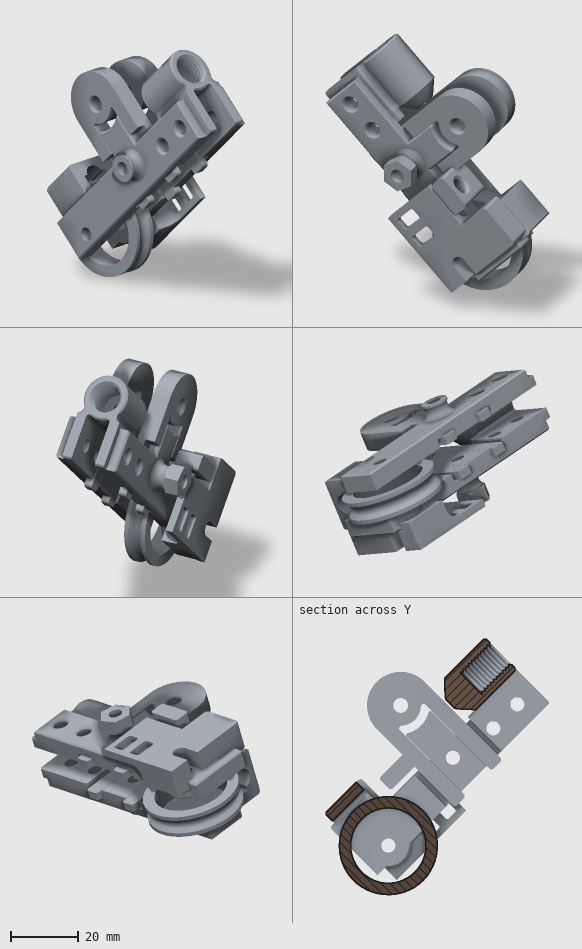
import cadquery as cq
import math

TILT = 45.0

ARM_INNER = 4.45
ARM_OUTER = 10.1
LEG_FACE = 7.0
EDGE_CHAMFER = 0.5

ARM_LEFT = -9.3
ARM_RIGHT = 4.0
ARM_BOTTOM = -8.5
ARM_TOP = 61.8
PIVOT_Z = 32.1
STUB_LEFT = -21.0
STUB_WIDTH = 10.5
STUB_CORNER = 0.6
STUB_HOLLOW_RADIUS = 8.5
GROOVE_PLAY = 1.7
SCREW_X = -2.6
SCREW_HEIGHTS = (46.8, 56.9)
SCREW_DIAMETER = 4.2
SINK_DIAMETER = 5.4
EAR_LEFT = -16.2
EAR_TOP = 6.66
EAR_FILLET = 0.9
HUB_RADIUS = 6.6

LUG_X = -26.9
LUG_RADIUS = 10.03
LUG_SLOT_WIDTH = 10.8
LUG_SLOT_LEFT = -22.6
LUG_BUMP_RADIUS = 6.0
LUG_HOLE = 4.4
LUG_SHOULDER_X = -12.3
LEG_TIP_X = 6.0
LEG_TIP_FILLET = 1.0
ANCHOR_LEFT = EAR_LEFT
ANCHOR_RIGHT = -11.1
ANCHOR_BOTTOM = 12.1
ANCHOR_TOP = 23.5
ANCHOR_REAR = 18.1
ANCHOR_FILLET = 1.1
ANCHOR_HOLE = 4.9
ANCHOR_SINK = 6.4
ANCHOR_HOLE_Y = 12.8

CLEVIS_X = -16.8
CLEVIS_RADIUS = LEG_FACE
CLEVIS_TOP = 64.1
CLEVIS_RIM_CHAMFER = 0.5
BARREL_BOTTOM = 47.0
CONE_BOTTOM = 42.9
CONE_END_RADIUS = 3.0
CLEVIS_LEG_BOTTOM = 43.8
CLEVIS_LEG_INNER = 3.9
WEB_END_X = -10.7
WEB_FILLET = 1.2
NECK_START_X = -13.5
NECK_END_X = -10.4
NECK_MIDDLE = (-12.1, 5.55)
THREAD_DIAMETER = 10.15
THREAD_CORE_DIAMETER = 8.9
THREAD_PITCH = 1.25
THREAD_TURNS = 10
CABLE_HOLE = 3.9

WHEEL_RADIUS = 14.7
WHEEL_BORE = 22.3
WHEEL_HALF_WIDTH = 3.5
GROOVE_HALF_WIDTH = 2.25
GROOVE_FLANK_DEPTH = 1.0
GROOVE_FLOOR_HALF_WIDTH = 1.25
GROOVE_DEPTH = 1.6

SPOOL_X = -4.9
SPOOL_BASE_RADIUS = 10.15 / 2
SPOOL_NECK_RADIUS = 3.5
SPOOL_NECK_HEIGHT = 2.4
SPOOL_LIP_RADIUS = 4.05
SPOOL_LIP_START = 3.9
SPOOL_HEIGHT = 4.6
HEX_START = 4.45
HEX_END = 9.0
HEX_CORNER_DIAMETER = 10.15
HEX_CHAMFER = 0.5

COVER_LEFT = -20.1
COVER_INNER_LEFT = -15.4
COVER_HALF_HEIGHT = 6.6
COVER_HALF_WIDTH = 8.05
COVER_FILLET = 1.0
COVER_END_CHAMFER = 0.5
SCOOP_RADIUS = 3.1
SCOOP_DEPTH = 2.4

CARRIER_RIGHT = 9.0
CARRIER_BOTTOM = -5.5
CARRIER_TOP_LEFT = 8.46
CARRIER_TOP_RIGHT = 9.24
CARRIER_FRONT = COVER_HALF_WIDTH
CARRIER_REAR = 17.1
CARRIER_WEB_FACE = 10.8
CARRIER_PLAY = 0.35
CARRIER_FILLET = 1.0
PLATE_LEFT = -9.5
PLATE_TOP = 23.8
PLATE_FRONT = 14.8
WINDOW_LEFT = 0.0
WINDOW_RIGHT = 7.0
WINDOW_HEIGHT = 3.9
WINDOW_BOTTOMS = (11.0, 17.8)
WINDOW_FILLET = 0.7
AXLE_SLOT_WIDTH = 4.4


def side_plane(y):
    """Sketch plane facing along Y, with sketch axes X and Z."""
    return cq.Workplane("XZ", origin=(0, y, 0))


def box(x, y, z):
    """Box from the (low, high) limits along each axis."""
    size = [high - low for low, high in (x, y, z)]
    return cq.Workplane("XY").box(*size, centered=False).translate((x[0], y[0], z[0]))


def rod(x, z, diameter, y_start, y_end):
    """Cylinder along Y."""
    return side_plane(y_start).center(x, z).circle(diameter / 2).extrude(y_start - y_end)


def countersink(x, z, y_face, diameter, sink_diameter):
    """Cone that widens a hole at the +Y face."""
    depth = (sink_diameter - diameter) / 2
    cone = cq.Solid.makeCone(
        sink_diameter / 2, diameter / 2, depth, cq.Vector(x, y_face, z), cq.Vector(0, -1, 0)
    )
    return cq.Workplane(cone)


def arm(has_ear):
    """Arm on the +Y side; the ear and the hub disc are only on the rear arm."""
    bar = box((ARM_LEFT, ARM_RIGHT), (ARM_INNER, ARM_OUTER), (ARM_BOTTOM, ARM_TOP))
    stub_low = PIVOT_Z - STUB_WIDTH / 2
    stub_high = PIVOT_Z + STUB_WIDTH / 2
    stub = box((STUB_LEFT, ARM_LEFT), (ARM_INNER, ARM_OUTER), (stub_low, stub_high))
    hollow = rod(LUG_X, PIVOT_Z, 2 * STUB_HOLLOW_RADIUS, ARM_INNER, ARM_OUTER)
    stub = stub.cut(hollow).edges("|Y and <X").fillet(STUB_CORNER)
    body = bar.union(stub)
    if has_ear:
        ear = box((EAR_LEFT, ARM_LEFT), (ARM_INNER, ARM_OUTER), (ARM_BOTTOM, EAR_TOP))
        body = body.union(ear.edges("|Y and <X and <Z").fillet(EAR_FILLET))
    body = body.clean().faces(">Y").edges().chamfer(EDGE_CHAMFER)

    recess_left = ARM_LEFT - 1
    recess_right = ARM_RIGHT + 1
    low_recess = (PIVOT_Z - LUG_RADIUS - GROOVE_PLAY, stub_low)
    high_recess = (stub_high, ARM_TOP)
    for heights in (low_recess, high_recess):
        body = body.cut(box((recess_left, recess_right), (ARM_INNER, LEG_FACE), heights))

    if has_ear:
        hub = rod(0, 0, 2 * HUB_RADIUS, ARM_INNER, ARM_OUTER)
        body = body.union(hub.faces("<Y").edges().chamfer(EDGE_CHAMFER))

    holes = [(SCREW_X, z) for z in SCREW_HEIGHTS] + [(0, 0), (SPOOL_X, PIVOT_Z)]
    for x, z in holes:
        body = body.cut(rod(x, z, SCREW_DIAMETER, ARM_INNER, ARM_OUTER))
    for z in SCREW_HEIGHTS:
        body = body.cut(countersink(SCREW_X, z, ARM_OUTER, SCREW_DIAMETER, SINK_DIAMETER))
    return body


def lug():
    """U-shaped lug on the +Y side, its legs thinned to run inside the arm."""
    bottom = PIVOT_Z - LUG_RADIUS
    top = PIVOT_Z + LUG_RADIUS
    body = box((LUG_X, LEG_TIP_X), (ARM_INNER, ARM_OUTER), (bottom, top))
    body = body.union(rod(LUG_X, PIVOT_Z, 2 * LUG_RADIUS, ARM_INNER, ARM_OUTER))
    slot_z = (PIVOT_Z - LUG_SLOT_WIDTH / 2, PIVOT_Z + LUG_SLOT_WIDTH / 2)
    slot = box((LUG_SLOT_LEFT, LEG_TIP_X), (ARM_INNER, ARM_OUTER), slot_z)
    slot = slot.edges("|Y and <X").fillet(STUB_CORNER)
    slot = slot.cut(rod(LUG_X, PIVOT_Z, 2 * LUG_BUMP_RADIUS, ARM_INNER, ARM_OUTER))
    body = body.cut(slot)
    body = body.cut(box((LUG_SHOULDER_X, LEG_TIP_X), (LEG_FACE, ARM_OUTER), (bottom, top)))
    body = body.edges("|Y and >X").fillet(LEG_TIP_FILLET)
    body = body.cut(rod(LUG_X, PIVOT_Z, LUG_HOLE, ARM_INNER, ARM_OUTER))
    return body.cut(countersink(LUG_X, PIVOT_Z, ARM_OUTER, LUG_HOLE, SINK_DIAMETER))


def cable_anchor():
    """Block on the rear lug with a cable hole along X."""
    block = box(
        (ANCHOR_LEFT, ANCHOR_RIGHT), (ARM_INNER, ANCHOR_REAR), (ANCHOR_BOTTOM, ANCHOR_TOP)
    )
    block = block.edges("|Y").fillet(ANCHOR_FILLET)
    hole_z = (ANCHOR_BOTTOM + ANCHOR_TOP) / 2
    hole_start = cq.Vector(ANCHOR_LEFT, ANCHOR_HOLE_Y, hole_z)
    along_x = cq.Vector(1, 0, 0)
    hole = cq.Solid.makeCylinder(
        ANCHOR_HOLE / 2, ANCHOR_RIGHT - ANCHOR_LEFT, hole_start, along_x
    )
    sink_depth = (ANCHOR_SINK - ANCHOR_HOLE) / 2
    sink = cq.Solid.makeCone(ANCHOR_SINK / 2, ANCHOR_HOLE / 2, sink_depth, hole_start, along_x)
    lug_zone = box(
        (ANCHOR_LEFT, ANCHOR_RIGHT),
        (ARM_INNER, ARM_OUTER),
        (PIVOT_Z - LUG_RADIUS, ANCHOR_TOP),
    )
    return block.cut(cq.Workplane(hole)).cut(cq.Workplane(sink)).cut(lug_zone)


def thread_bore():
    """Core hole with one V-shaped ring per thread turn."""
    core = THREAD_CORE_DIAMETER / 2
    crest = THREAD_DIAMETER / 2
    depth = THREAD_PITCH * THREAD_TURNS
    profile = cq.Workplane("XZ").moveTo(0, 0).lineTo(crest, 0)
    for turn in range(THREAD_TURNS):
        start = -turn * THREAD_PITCH
        profile = profile.lineTo(core, start - THREAD_PITCH / 2)
        profile = profile.lineTo(crest, start - THREAD_PITCH)
    profile = profile.lineTo(0, -depth).close()
    return profile.revolve(360, (0, 0, 0), (0, 1, 0)).translate((CLEVIS_X, 0, CLEVIS_TOP))


def clevis():
    """Threaded barrel with a conical end and two legs between the arms."""
    barrel = (
        cq.Workplane("XY", origin=(CLEVIS_X, 0, BARREL_BOTTOM))
        .circle(CLEVIS_RADIUS)
        .extrude(CLEVIS_TOP - BARREL_BOTTOM)
        .faces(">Z").edges().chamfer(CLEVIS_RIM_CHAMFER)
    )
    cone = cq.Solid.makeCone(
        CONE_END_RADIUS,
        CLEVIS_RADIUS,
        BARREL_BOTTOM - CONE_BOTTOM,
        cq.Vector(CLEVIS_X, 0, CONE_BOTTOM),
    )
    neck_y = math.sqrt(CLEVIS_RADIUS**2 - (NECK_START_X - CLEVIS_X) ** 2)
    neck_x, neck_dip = NECK_MIDDLE
    fork = (
        cq.Workplane("XY", origin=(0, 0, CLEVIS_LEG_BOTTOM))
        .moveTo(NECK_START_X, -neck_y)
        .threePointArc((neck_x, -neck_dip), (NECK_END_X, -LEG_FACE))
        .lineTo(ARM_RIGHT, -LEG_FACE)
        .lineTo(ARM_RIGHT, -CLEVIS_LEG_INNER)
        .lineTo(WEB_END_X, -CLEVIS_LEG_INNER)
        .lineTo(WEB_END_X, CLEVIS_LEG_INNER)
        .lineTo(ARM_RIGHT, CLEVIS_LEG_INNER)
        .lineTo(ARM_RIGHT, LEG_FACE)
        .lineTo(NECK_END_X, LEG_FACE)
        .threePointArc((neck_x, neck_dip), (NECK_START_X, neck_y))
        .close()
        .extrude(CLEVIS_TOP - CLEVIS_LEG_BOTTOM)
    )
    inner_corners = cq.selectors.BoxSelector(
        (WEB_END_X - 0.1, -ARM_INNER, CLEVIS_LEG_BOTTOM),
        (WEB_END_X + 0.1, ARM_INNER, CLEVIS_TOP),
    )
    fork = fork.edges("|Z").edges(inner_corners).fillet(WEB_FILLET)
    under_barrel = box(
        (NECK_START_X - 1, NECK_END_X),
        (-CLEVIS_RADIUS, CLEVIS_RADIUS),
        (CLEVIS_LEG_BOTTOM, BARREL_BOTTOM),
    )
    fork = fork.cut(under_barrel).faces(">X").edges("|Y").chamfer(CLEVIS_RIM_CHAMFER)
    body = barrel.union(fork).union(cq.Workplane(cone))
    cable_hole = (
        cq.Workplane("XY", origin=(CLEVIS_X, 0, CONE_BOTTOM))
        .circle(CABLE_HOLE / 2)
        .extrude(CLEVIS_TOP - CONE_BOTTOM)
    )
    body = body.cut(cable_hole).cut(thread_bore())
    for z in SCREW_HEIGHTS:
        body = body.cut(rod(SCREW_X, z, SCREW_DIAMETER, -LEG_FACE, LEG_FACE))
    return body


def wheel():
    """Grooved ring turned about the Y axis."""
    flank_radius = WHEEL_RADIUS - GROOVE_FLANK_DEPTH
    return (
        cq.Workplane("XY")
        .moveTo(WHEEL_BORE / 2, -WHEEL_HALF_WIDTH)
        .lineTo(WHEEL_RADIUS, -WHEEL_HALF_WIDTH)
        .lineTo(WHEEL_RADIUS, -GROOVE_HALF_WIDTH)
        .lineTo(flank_radius, -GROOVE_FLOOR_HALF_WIDTH)
        .threePointArc((WHEEL_RADIUS - GROOVE_DEPTH, 0), (flank_radius, GROOVE_FLOOR_HALF_WIDTH))
        .lineTo(WHEEL_RADIUS, GROOVE_HALF_WIDTH)
        .lineTo(WHEEL_RADIUS, WHEEL_HALF_WIDTH)
        .lineTo(WHEEL_BORE / 2, WHEEL_HALF_WIDTH)
        .close()
        .revolve(360, (0, 0, 0), (0, 1, 0))
    )


def spool():
    """Flared spool standing on the outer face of the arm on the +Y side."""
    flare = (
        cq.Workplane("XY")
        .moveTo(SCREW_DIAMETER / 2, 0)
        .lineTo(SPOOL_BASE_RADIUS, 0)
        .threePointArc((SPOOL_NECK_RADIUS, SPOOL_NECK_HEIGHT), (SPOOL_LIP_RADIUS, SPOOL_LIP_START))
        .lineTo(SPOOL_LIP_RADIUS, SPOOL_HEIGHT)
        .lineTo(SCREW_DIAMETER / 2, SPOOL_HEIGHT)
        .close()
        .revolve(360, (0, 0, 0), (0, 1, 0))
    )
    return flare.translate((SPOOL_X, ARM_OUTER, PIVOT_Z))


def hex_spool():
    """Spool whose lip is a hexagon, chamfered on the side of the arm."""
    corner = HEX_CORNER_DIAMETER / 2
    start = ARM_OUTER + HEX_START
    end = ARM_OUTER + HEX_END
    hexagon = (
        side_plane(start).polygon(6, HEX_CORNER_DIAMETER).extrude(start - end)
        .rotate((0, 0, 0), (0, 1, 0), TILT)
        .translate((SPOOL_X, 0, PIVOT_Z))
    )
    envelope = rod(SPOOL_X, PIVOT_Z, 2 * corner, start, end)
    hexagon = hexagon.intersect(envelope.faces("<Y").edges().chamfer(HEX_CHAMFER))
    hexagon = hexagon.cut(rod(SPOOL_X, PIVOT_Z, SCREW_DIAMETER, start, end))
    return spool().union(hexagon)


def cover():
    """Guard over the wheel rim, bridging the two arms."""
    half_z = (-COVER_HALF_HEIGHT, COVER_HALF_HEIGHT)
    body = box((COVER_LEFT, ARM_LEFT), (-COVER_HALF_WIDTH, COVER_HALF_WIDTH), half_z)
    body = body.edges("|Z and <X").chamfer(COVER_FILLET)
    body = body.faces("<Z").edges("<X").chamfer(COVER_END_CHAMFER)
    body = body.cut(box((COVER_INNER_LEFT, ARM_LEFT), (-ARM_INNER, ARM_INNER), half_z))
    body = body.cut(box((EAR_LEFT, ARM_LEFT), (ARM_INNER, COVER_HALF_WIDTH), half_z))
    scoop_x = COVER_INNER_LEFT - SCOOP_DEPTH + SCOOP_RADIUS
    scoop = (
        cq.Workplane("XY", origin=(scoop_x, 0, -COVER_HALF_HEIGHT))
        .circle(SCOOP_RADIUS)
        .extrude(2 * COVER_HALF_HEIGHT)
    )
    return body.cut(scoop)


def carrier():
    """Block behind the rear arm, with a windowed plate rising from it."""
    depth = (CARRIER_FRONT, CARRIER_REAR)
    left = box((COVER_LEFT, PLATE_LEFT), depth, (CARRIER_BOTTOM, CARRIER_TOP_LEFT))
    left = left.edges("|Y and <X").fillet(CARRIER_FILLET)
    right = box((PLATE_LEFT, CARRIER_RIGHT), depth, (CARRIER_BOTTOM, CARRIER_TOP_RIGHT))
    right = right.edges("|Y and >X and <Z").fillet(CARRIER_FILLET)
    plate = box((PLATE_LEFT, CARRIER_RIGHT), (PLATE_FRONT, CARRIER_REAR), (CARRIER_BOTTOM, PLATE_TOP))
    body = left.union(right).union(plate)

    round_radius = PLATE_FRONT - CARRIER_WEB_FACE
    round_top = CARRIER_TOP_RIGHT + round_radius
    corner = box((PLATE_LEFT, CARRIER_RIGHT), (CARRIER_WEB_FACE, PLATE_FRONT), (CARRIER_TOP_RIGHT, round_top))
    hollow = cq.Solid.makeCylinder(
        round_radius,
        CARRIER_RIGHT - PLATE_LEFT,
        cq.Vector(PLATE_LEFT, CARRIER_WEB_FACE, round_top),
        cq.Vector(1, 0, 0),
    )
    body = body.union(corner.cut(cq.Workplane(hollow)))

    arm_room = box(
        (ARM_LEFT, ARM_RIGHT + CARRIER_PLAY),
        (CARRIER_FRONT, CARRIER_WEB_FACE),
        (CARRIER_BOTTOM, CARRIER_TOP_RIGHT),
    )
    ear_room = box((EAR_LEFT, ARM_LEFT), (CARRIER_FRONT, ARM_OUTER), (CARRIER_BOTTOM, EAR_TOP))
    hub_room = rod(0, 0, 2 * HUB_RADIUS, CARRIER_FRONT, CARRIER_WEB_FACE)
    body = body.cut(arm_room).cut(ear_room).cut(hub_room)

    for bottom in WINDOW_BOTTOMS:
        window = box(
            (WINDOW_LEFT, WINDOW_RIGHT),
            (CARRIER_WEB_FACE, CARRIER_REAR),
            (bottom, bottom + WINDOW_HEIGHT),
        )
        body = body.cut(window.edges("|Y").fillet(WINDOW_FILLET))

    slot_half = AXLE_SLOT_WIDTH / 2
    slot = box((-slot_half, slot_half), depth, (CARRIER_BOTTOM, 0))
    slot = slot.union(rod(0, 0, AXLE_SLOT_WIDTH, *depth))
    return body.cut(slot)


front_arm = arm(has_ear=False).mirror("XZ")
rear_arm = arm(has_ear=True)
front_lug = lug().mirror("XZ")
rear_lug = lug().union(cable_anchor())
front_spool = spool().mirror("XZ")
rear_spool = hex_spool()

bodies = [
    front_arm,
    rear_arm,
    front_lug,
    rear_lug,
    clevis(),
    wheel(),
    front_spool,
    rear_spool,
    cover(),
    carrier(),
]
tilted = [body.rotate((0, 0, 0), (0, 1, 0), TILT) for body in bodies]
result = cq.Compound.makeCompound([body.val() for body in tilted])